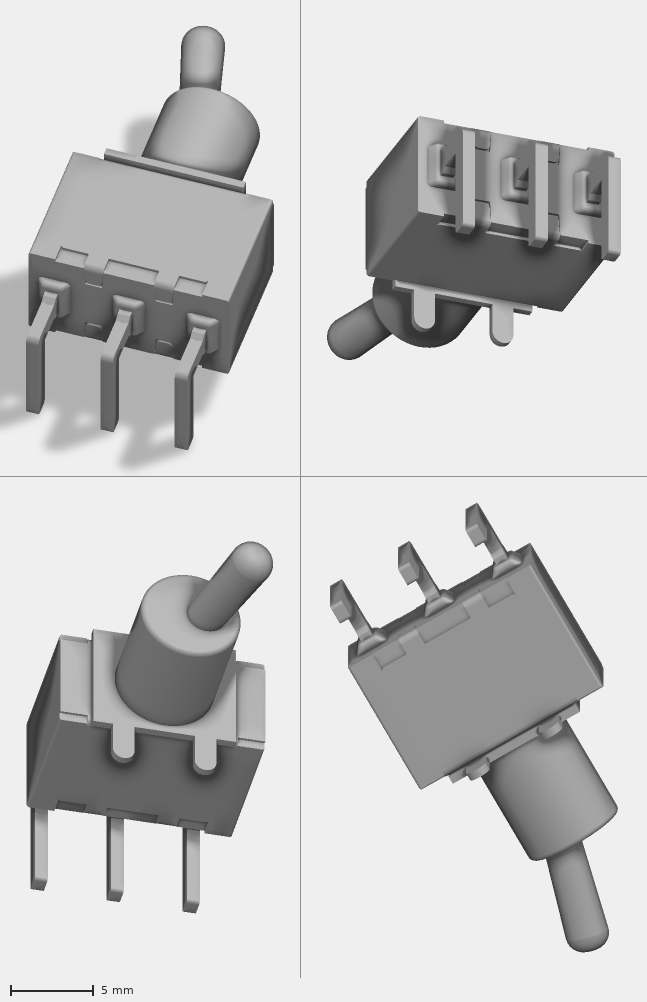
import cadquery as cq
import math


overall_length = 27.4

body_width = 12.7
body_length = 8.8
body_height = 6.6
body_edge_radius = 0.16
front_step_depth = 0.16
front_step_height = 0.52

sheet = 0.2
bend_radius = 0.4
cover_width = 9.32
cover_setback = 1.05
cover_corner_radius = 0.22
tab_spacing = 4.47
tab_root_width = 1.25
tab_end_width = 1.1
tab_reach = 1.45
tab_corner_radius = 0.33
tab_end_gap = 0.15
tab_side_gap = 0.04

bracket_thickness = 0.5
bracket_width = 8.85
bracket_height = 7.12
tang_spacing = 5.07
tang_width = 1.35
tang_tip_z = -6.08

bushing_diameter = 6.2
bushing_end_y = 16.39
bushing_end_radius = 0.3
lever_tilt = 15.0
lever_pivot_y = 13.02
lever_root_diameter = 2.2
lever_tip_diameter = 2.65
lever_tip_radius = 1.05
lever_top_y = 23.1

terminal_pitch = 4.7
boss_height = 2.85
boss_base_width = 2.08
boss_tip_width = 1.2
boss_depth = 0.58
boss_tip_radius = 0.33
boss_end_radius = 0.27
pin_width = 0.8
pin_thickness = 1.2
shoulder_height = 1.75
shoulder_end_y = -0.93
neck_start_y = -1.3
pin_rear_y = lever_top_y - overall_length
pin_bottom_z = -6.16
pin_bend_radius = 0.45
pin_end_radius = 0.22

half_height = body_height / 2
overlap = 0.27


def block(x_size, y_start, y_end, z_start, z_end, x_center=0):
    """Box centred on x_center, spanning the given Y and Z ranges."""
    return cq.Workplane("XY").box(
        x_size, y_end - y_start, z_end - z_start, centered=(True, False, False)
    ).translate((x_center, y_start, z_start))


def mirrored_below(shape):
    """The shape joined with its mirror image in the XY plane."""
    return shape.union(shape.mirror("XY"))


def tab_plate(x_center, reach, inset=0.0):
    """Tapered plate hanging from the top of the body; the inset narrows both sides."""
    root = tab_root_width / 2 - inset
    slope = (tab_root_width - tab_end_width) / 2 / tab_reach
    end = root - slope * reach
    return (
        cq.Workplane("XZ")
        .moveTo(x_center - root, half_height)
        .lineTo(x_center + root, half_height)
        .lineTo(x_center + end, half_height - reach)
        .lineTo(x_center - end, half_height - reach)
        .close()
        .extrude(-sheet)
    )


def make_body():
    body = block(body_width, 0, body_length, -half_height, half_height)
    body = body.edges("|Y").fillet(body_edge_radius)
    front_step = block(
        body_width, body_length - front_step_depth, body_length,
        half_height - front_step_height, half_height,
    )
    cover_recess = block(cover_width, 0, body_length, half_height - sheet, half_height)
    cuts = front_step.union(cover_recess)
    for side in (-1, 1):
        cuts = cuts.union(tab_plate(side * tab_spacing / 2, tab_reach + tab_end_gap))
    return body.cut(mirrored_below(cuts))


def make_cover():
    """Upper cover plate with its bent front edge and two tabs bent over the terminal face."""
    cover = block(cover_width, cover_setback, body_length, half_height - sheet, half_height)
    cover = cover.edges("|Z and <Y").fillet(cover_corner_radius)
    front_fold = block(
        cover_width, body_length - front_step_depth, body_length,
        half_height - front_step_height, half_height,
    )
    cover = cover.union(front_fold).edges(">Y and >Z").fillet(bend_radius)
    for side in (-1, 1):
        x = side * tab_spacing / 2
        strip = block(tab_root_width, 0, cover_setback + overlap, half_height - sheet, half_height, x)
        flap = tab_plate(x, tab_reach, tab_side_gap).edges("|Y and <Z").fillet(tab_corner_radius)
        backing = block(tab_root_width, 0, bend_radius, half_height - bend_radius, half_height, x)
        tab = strip.union(flap).union(backing).edges("<Y and >Z").fillet(bend_radius)
        cover = cover.union(tab)
    return cover


def make_bracket():
    y_end = body_length + bracket_thickness
    bracket = block(bracket_width, body_length, y_end, -bracket_height / 2, bracket_height / 2)
    tip_center_z = tang_tip_z + tang_width / 2
    for side in (-1, 1):
        x = side * tang_spacing / 2
        bracket = bracket.union(block(tang_width, body_length, y_end, tip_center_z, 0, x))
        tip = (
            cq.Workplane("XZ", origin=(x, body_length, tip_center_z))
            .circle(tang_width / 2)
            .extrude(-bracket_thickness)
        )
        bracket = bracket.union(tip)
    return bracket


def make_bushing():
    return (
        cq.Workplane("XZ", origin=(0, body_length, 0))
        .circle(bushing_diameter / 2)
        .extrude(body_length - bushing_end_y)
        .faces(">Y")
        .edges()
        .fillet(bushing_end_radius)
    )


def make_lever():
    """Tapered lever with a rounded tip, tilted about the pivot toward -X."""
    tilt = math.radians(lever_tilt)
    tip_flat = lever_tip_diameter / 2 - lever_tip_radius
    tip_start = (
        lever_top_y - lever_pivot_y - lever_tip_radius - tip_flat * math.sin(tilt)
    ) / math.cos(tilt)
    arc_reach = lever_tip_radius * math.sqrt(0.5)
    profile = (
        cq.Workplane("XY")
        .lineTo(lever_root_diameter / 2, 0)
        .lineTo(lever_tip_diameter / 2, tip_start)
        .threePointArc(
            (tip_flat + arc_reach, tip_start + arc_reach),
            (tip_flat, tip_start + lever_tip_radius),
        )
        .lineTo(0, tip_start + lever_tip_radius)
        .close()
    )
    lever = profile.revolve(360, (0, 0, 0), (0, 1, 0))
    return lever.rotate((0, 0, 0), (0, 0, 1), lever_tilt).translate((0, lever_pivot_y, 0))


def make_boss():
    """Tapered, rounded base that surrounds a terminal."""
    return (
        cq.Workplane("XY")
        .moveTo(-boss_base_width / 2, 0)
        .lineTo(boss_base_width / 2, 0)
        .lineTo(boss_tip_width / 2, -boss_depth)
        .lineTo(-boss_tip_width / 2, -boss_depth)
        .close()
        .extrude(boss_height / 2, both=True)
        .edges("|Z and <Y")
        .fillet(boss_tip_radius)
        .faces("<Z or >Z")
        .edges("not >Y")
        .fillet(boss_end_radius)
    )


def make_pin():
    """Right-angled flat pin with a wider shoulder at the boss."""
    half_pin = pin_thickness / 2
    half_shoulder = shoulder_height / 2
    leg_front_y = pin_rear_y + pin_thickness
    pin = (
        cq.Workplane("YZ")
        .moveTo(overlap, half_shoulder)
        .lineTo(shoulder_end_y, half_shoulder)
        .lineTo(neck_start_y, half_pin)
        .lineTo(pin_rear_y, half_pin)
        .lineTo(pin_rear_y, pin_bottom_z)
        .lineTo(leg_front_y, pin_bottom_z)
        .lineTo(leg_front_y, -half_pin)
        .lineTo(neck_start_y, -half_pin)
        .lineTo(shoulder_end_y, -half_shoulder)
        .lineTo(overlap, -half_shoulder)
        .close()
        .extrude(pin_width / 2, both=True)
    )
    pin = pin.faces("<Z").edges("|X").fillet(pin_end_radius)
    outer_bend = cq.selectors.NearestToPointSelector((0, pin_rear_y, half_pin))
    return pin.edges("|X").edges(outer_bend).fillet(pin_bend_radius)


result = (
    make_body()
    .union(mirrored_below(make_cover()))
    .union(make_bracket())
    .union(make_bushing())
    .union(make_lever())
)
terminal = make_boss().union(make_pin())
for position in (-1, 0, 1):
    result = result.union(terminal.translate((position * terminal_pitch, 0, 0)))